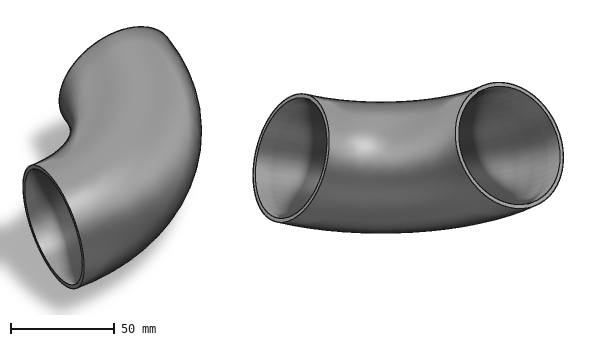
import cadquery as cq
import math

overall_length = 109.1
outer_diameter = 63.5
inner_diameter = 59.5
bend_radius = 75.0

outer_bend_radius = bend_radius + outer_diameter / 2
overrun_angle = math.degrees(math.asin((overall_length - outer_bend_radius) / outer_bend_radius))
bend_angle = 90 + overrun_angle

result = (
    cq.Workplane("XZ")
    .center(bend_radius, 0)
    .circle(outer_diameter / 2)
    .circle(inner_diameter / 2)
    .revolve(bend_angle, (-bend_radius, 0, 0), (-bend_radius, 1, 0))
)